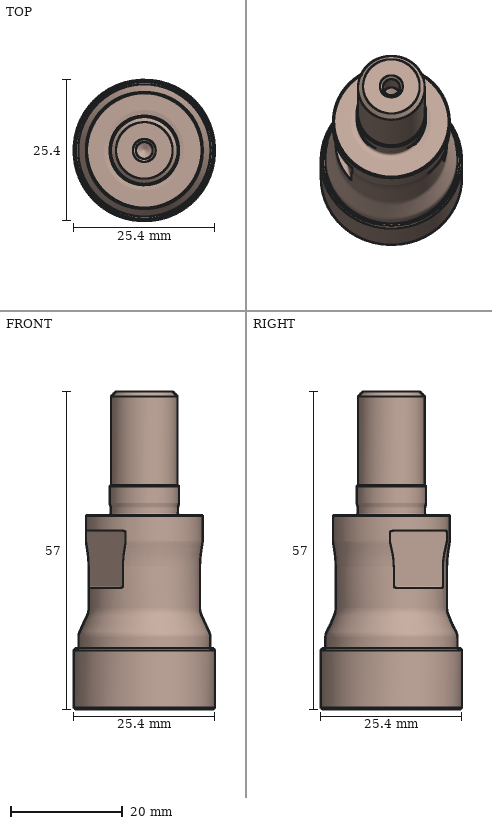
import cadquery as cq
import math

overall_height = 57
cap_radius = 25.35 / 2
cap_height = 11.0
cap_edge = 0.4

shoulder_radius = 23.7 / 2
waist_radius = 20.0 / 2
collar_radius = 21.0 / 2
collar_edge = 0.2
collar_top = 34.9

shoulder_top = 12.95
lower_cone_bottom = 13.85
lower_cone_top = 16.8
waist_bottom = 18.1
waist_top = 25.55
upper_cone_bottom = 28.9
upper_cone_top = 29.8
collar_bottom = 30.3
lower_taper_angle = math.radians(25)
upper_taper_angle = math.radians(10)

relief_outer_radius = 7.2
relief_angle = math.radians(8)

neck_radius = 12.1 / 2
land_radius = 12.5 / 2
shank_radius = 11.95 / 2
root_fillet = 0.5
neck_top = 36.1
neck_blend_height = 0.2
neck_taper_angle = math.radians(15)
land_top = 39.95
land_edge = land_radius - shank_radius
tip_chamfer = 0.9

hole_radius = 3.0 / 2
countersink_radius = 2.05
hole_depth = 5.7
drill_tip_angle = math.radians(118)

flat_distance = 8.45
flat_bottom = 21.8
flat_top = 32.05
flat_corner = 0.35
flat_direction = 35
flat_count = 2


def make_cap():
    cap = cq.Workplane("XY").circle(cap_radius).extrude(cap_height)
    return cap.faces("<Z or >Z").edges().chamfer(cap_edge)


def add_arc(profile, start, end, tangent):
    """Continue the profile from start to end by an arc that leaves along the unit tangent."""
    dx = end[0] - start[0]
    dz = end[1] - start[1]
    along = dx * tangent[0] + dz * tangent[1]
    across = dz * tangent[0] - dx * tangent[1]
    half_turn = math.atan2(across, along) / 2
    bulge = math.hypot(dx, dz) / 2 * math.tan(half_turn)
    chord = math.hypot(dx, dz)
    middle = (
        (start[0] + end[0]) / 2 + bulge * dz / chord,
        (start[1] + end[1]) / 2 - bulge * dx / chord,
    )
    return profile.threePointArc(middle, end)


def make_turned_body():
    lower_half = math.tan(lower_taper_angle / 2)
    upper_half = math.tan(upper_taper_angle / 2)
    shoulder_start = (shoulder_radius, shoulder_top)
    lower_cone_start = (shoulder_radius - (lower_cone_bottom - shoulder_top) * lower_half, lower_cone_bottom)
    lower_cone_end = (waist_radius + (waist_bottom - lower_cone_top) * lower_half, lower_cone_top)
    waist_start = (waist_radius, waist_bottom)
    waist_end = (waist_radius, waist_top)
    upper_cone_start = (waist_radius + (upper_cone_bottom - waist_top) * upper_half, upper_cone_bottom)
    upper_cone_end = (collar_radius - (collar_bottom - upper_cone_top) * upper_half, upper_cone_top)
    collar_start = (collar_radius, collar_bottom)
    upward = (0, 1)
    lower_slope = (-math.sin(lower_taper_angle), math.cos(lower_taper_angle))
    upper_slope = (math.sin(upper_taper_angle), math.cos(upper_taper_angle))

    profile = cq.Workplane("XZ").moveTo(0, cap_height).lineTo(shoulder_radius, cap_height)
    profile = profile.lineTo(*shoulder_start)
    profile = add_arc(profile, shoulder_start, lower_cone_start, upward)
    profile = profile.lineTo(*lower_cone_end)
    profile = add_arc(profile, lower_cone_end, waist_start, lower_slope)
    profile = profile.lineTo(*waist_end)
    profile = add_arc(profile, waist_end, upper_cone_start, upward)
    profile = profile.lineTo(*upper_cone_end)
    profile = add_arc(profile, upper_cone_end, collar_start, upper_slope)

    relief_inner_radius = neck_radius + root_fillet * (1 - math.sin(relief_angle))
    relief_depth = (relief_outer_radius - relief_inner_radius) * math.tan(relief_angle)
    fillet_start = (relief_inner_radius, collar_top - relief_depth)
    fillet_end = (neck_radius, fillet_start[1] + root_fillet * math.cos(relief_angle))
    relief_slope = (-math.cos(relief_angle), -math.sin(relief_angle))
    profile = (
        profile.lineTo(collar_radius, collar_top - collar_edge)
        .lineTo(collar_radius - collar_edge, collar_top)
        .lineTo(relief_outer_radius, collar_top)
        .lineTo(*fillet_start)
    )
    profile = add_arc(profile, fillet_start, fillet_end, relief_slope)

    neck_end = (neck_radius, neck_top)
    taper_start = (
        neck_radius + neck_blend_height * math.tan(neck_taper_angle / 2),
        neck_top + neck_blend_height,
    )
    land_bottom = taper_start[1] + (land_radius - taper_start[0]) / math.tan(neck_taper_angle)
    profile = profile.lineTo(*neck_end)
    profile = add_arc(profile, neck_end, taper_start, upward)

    profile = (
        profile.lineTo(land_radius, land_bottom)
        .lineTo(land_radius, land_top)
        .lineTo(shank_radius, land_top + land_edge)
        .lineTo(shank_radius, overall_height - tip_chamfer)
        .lineTo(shank_radius - tip_chamfer, overall_height)
        .lineTo(0, overall_height)
        .close()
    )
    return profile.revolve(360, (0, 0), (0, 1))


def make_center_hole():
    """Countersunk blind hole with a conical drill tip."""
    countersink_depth = countersink_radius - hole_radius
    hole_bottom = overall_height - hole_depth
    drill_tip_depth = hole_radius / math.tan(drill_tip_angle / 2)
    return (
        cq.Workplane("XZ")
        .moveTo(0, overall_height)
        .lineTo(countersink_radius, overall_height)
        .lineTo(hole_radius, overall_height - countersink_depth)
        .lineTo(hole_radius, hole_bottom)
        .lineTo(0, hole_bottom - drill_tip_depth)
        .close()
        .revolve(360, (0, 0), (0, 1))
    )


def make_flat_cutter(angle):
    """Block outside one wrench flat, rounded where the flat meets its end walls."""
    depth = cap_radius - flat_distance
    cutter = (
        cq.Workplane("XY")
        .box(depth, 2 * cap_radius, flat_top - flat_bottom, centered=(False, True, False))
        .edges("<X and |Y")
        .fillet(flat_corner)
        .translate((flat_distance, 0, flat_bottom))
    )
    return cutter.rotate((0, 0, 0), (0, 0, 1), angle)


def make_body():
    body = make_turned_body().cut(make_center_hole())
    for index in range(flat_count):
        body = body.cut(make_flat_cutter(flat_direction + index * 360 / flat_count))
    return body


cap = make_cap()
body = make_body()
result = cq.Compound.makeCompound([cap.solids().val(), body.solids().val()])